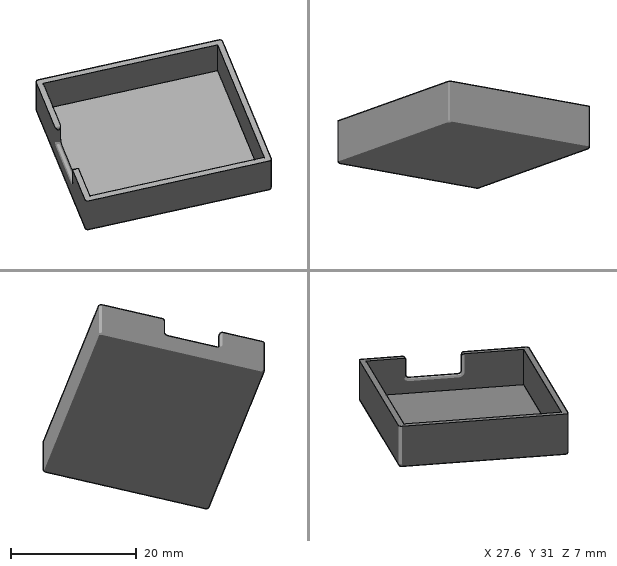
import cadquery as cq

width = 27.62
length = 31.0
height = 7.0
wall = 1.0
floor = 1.0
edge_radius = wall / 2

notch_center_x = 1.75
notch_width = 10.0
notch_depth = 4.0
notch_corner_radius = 1.0
bead_radius = wall / 2

notch_left = notch_center_x - notch_width / 2
notch_right = notch_center_x + notch_width / 2
notch_bottom = height - notch_depth
front_face_y = -length / 2
wall_middle_y = front_face_y + wall / 2


def make_tray():
    """Open box with rounded outer vertical and bottom edges."""
    block = cq.Workplane("XY").box(width, length, height, centered=(True, True, False))
    block = block.edges("|Z").fillet(edge_radius)
    block = block.faces("<Z").edges().fillet(edge_radius)
    cavity = (
        cq.Workplane("XY", origin=(0, 0, floor))
        .rect(width - 2 * wall, length - 2 * wall)
        .extrude(height - floor)
    )
    return block.cut(cavity)


def notch_outline(y):
    """Open U running down the left side, along the bottom and up the right."""
    return (
        cq.Workplane("XZ", origin=(0, y, 0))
        .moveTo(notch_left, height)
        .lineTo(notch_left, notch_bottom + notch_corner_radius)
        .radiusArc((notch_left + notch_corner_radius, notch_bottom), -notch_corner_radius)
        .lineTo(notch_right - notch_corner_radius, notch_bottom)
        .radiusArc((notch_right, notch_bottom + notch_corner_radius), -notch_corner_radius)
        .lineTo(notch_right, height)
    )


def make_notch():
    """Cutter passing through the front wall only."""
    return notch_outline(front_face_y).close().extrude(-wall)


def make_end_trim(notch_side_x, inward):
    """Waste above a quarter-round, which rounds one rod end down into the notch."""
    corner_x = notch_side_x + inward * bead_radius
    round_bottom = height - bead_radius
    block = (
        cq.Workplane("XZ", origin=(0, front_face_y, 0))
        .moveTo(notch_side_x, round_bottom)
        .lineTo(notch_side_x, height)
        .lineTo(corner_x, height)
        .lineTo(corner_x, round_bottom)
        .close()
        .extrude(-wall)
    )
    roller = (
        cq.Workplane("XZ", origin=(0, front_face_y, 0))
        .center(notch_side_x, round_bottom)
        .circle(bead_radius)
        .extrude(-wall)
    )
    return block.cut(roller)


def make_bead():
    """Round rod centered on the notch outline, with rounded upper ends."""
    rod = (
        cq.Workplane("XY", origin=(notch_left, wall_middle_y, height))
        .circle(bead_radius)
        .sweep(notch_outline(wall_middle_y).wire())
    )
    for notch_side_x, inward in ((notch_left, 1), (notch_right, -1)):
        rod = rod.cut(make_end_trim(notch_side_x, inward))
    return rod


result = make_tray().cut(make_notch()).union(make_bead())